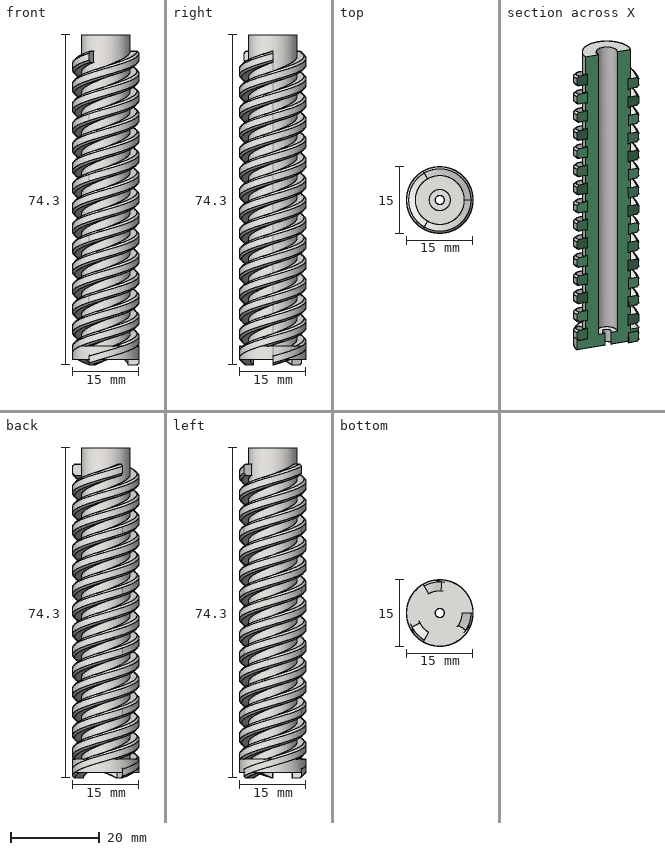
import cadquery as cq

THREAD_COUNT = 3
THREAD_TURNS = 5
THREAD_TOP = 70.6
THREAD_HEIGHT = 2.5
THREAD_CHAMFER = 0.5
THREAD_RISE = THREAD_TOP - THREAD_HEIGHT
THREAD_LEAD = THREAD_RISE / THREAD_TURNS

TOTAL_HEIGHT = 74.25
SHAFT_RADIUS = 11.0 / 2
OUTER_RADIUS = 15.0 / 2
CORE_BOTTOM = THREAD_HEIGHT / 2
FLANGE_HEIGHT = 3.05
FLANGE_TOP = CORE_BOTTOM + FLANGE_HEIGHT

GROOVE_DEPTH = 0.5
ROOT_RADIUS = SHAFT_RADIUS - GROOVE_DEPTH

BORE_RADIUS = 4.75 / 2
SMALL_HOLE_RADIUS = 2.0 / 2
BORE_FLOOR = FLANGE_TOP

TRIM_ALLOWANCE = 0.2


def make_cylinder(radius, bottom, top):
    return cq.Workplane("XY", origin=(0, 0, bottom)).circle(radius).extrude(top - bottom)


def make_rib():
    """Helical rib on the groove floor, reaching a little past the outer radius.

    Its flanks turn inward at 45 degrees where the chamfers begin.
    """
    inner_radius = ROOT_RADIUS - TRIM_ALLOWANCE
    shoulder_radius = OUTER_RADIUS - THREAD_CHAMFER
    tip_inset = THREAD_CHAMFER + TRIM_ALLOWANCE
    tip_radius = shoulder_radius + tip_inset
    profile = (
        cq.Workplane("XZ")
        .moveTo(inner_radius, 0)
        .lineTo(shoulder_radius, 0)
        .lineTo(tip_radius, tip_inset)
        .lineTo(tip_radius, THREAD_HEIGHT - tip_inset)
        .lineTo(shoulder_radius, THREAD_HEIGHT)
        .lineTo(inner_radius, THREAD_HEIGHT)
        .close()
    )
    helix = cq.Workplane(cq.Wire.makeHelix(THREAD_LEAD, THREAD_RISE, SHAFT_RADIUS))
    rib = profile.sweep(helix, isFrenet=True)
    return rib.cut(make_cylinder(ROOT_RADIUS, 0, TOTAL_HEIGHT))


def make_thread(rib):
    """Rib trimmed to the outer radius."""
    return rib.intersect(make_cylinder(OUTER_RADIUS, 0, TOTAL_HEIGHT))


def spread_around_axis(shape):
    """Copies of a shape, one for each thread, at equal angles around Z."""
    step = 360 / THREAD_COUNT
    return [shape.rotate((0, 0, 0), (0, 0, 1), index * step) for index in range(THREAD_COUNT)]


def make_core(groove_cutters):
    """Flanged, bored shaft with a helical groove for each thread."""
    shaft = make_cylinder(SHAFT_RADIUS, CORE_BOTTOM, TOTAL_HEIGHT)
    flange = make_cylinder(OUTER_RADIUS, CORE_BOTTOM, FLANGE_TOP)
    bore = make_cylinder(BORE_RADIUS, BORE_FLOOR, TOTAL_HEIGHT)
    small_hole = make_cylinder(SMALL_HOLE_RADIUS, CORE_BOTTOM, BORE_FLOOR)
    body = shaft.union(flange).cut(bore).cut(small_hole)
    for cutter in groove_cutters:
        body = body.cut(cutter)
    return body


rib = make_rib()
threads = spread_around_axis(make_thread(rib))
core = make_core(spread_around_axis(rib))

bodies = [core, *threads]
result = cq.Compound.makeCompound([body.val() for body in bodies])